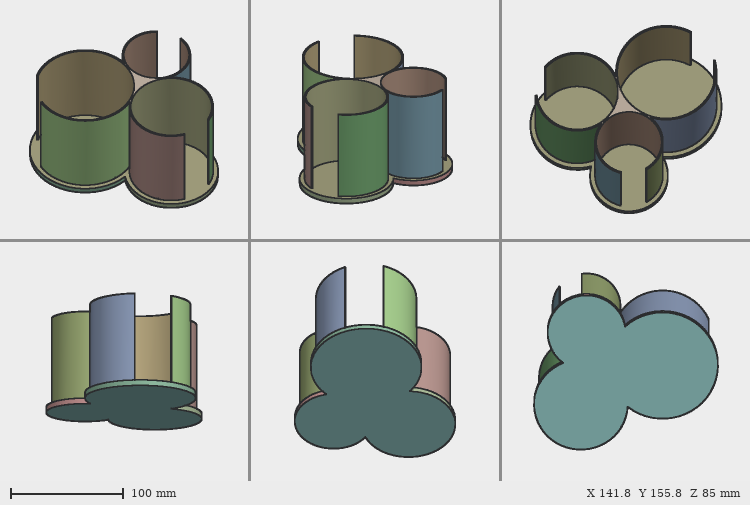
import cadquery as cq
import math

BASE_THICKNESS = 5.0
TOTAL_HEIGHT = 85.0
WALL_HEIGHT = TOTAL_HEIGHT - BASE_THICKNESS
WALL_THICKNESS = 1.2
BASE_MARGIN = 5.6
OPENING_ANGLE = 45.0

LARGE_CUP = ((0.0, 0.0), 86.8)
MEDIUM_CUP = ((51.0, 62.7), 71.9)
SMALL_CUP = ((-14.7, 72.3), 57.8)
CUPS = [LARGE_CUP, MEDIUM_CUP, SMALL_CUP]


def cylinder(center, radius, bottom, height):
    return cq.Workplane("XY").workplane(offset=bottom).center(*center).circle(radius).extrude(height)


def direction(start, end):
    """Unit vector from start to end."""
    dx = end[0] - start[0]
    dy = end[1] - start[1]
    length = math.hypot(dx, dy)
    return dx / length, dy / length


def opening_cutter(cup):
    """Wedge facing away from the other cups, along the bisector of their directions."""
    center, bore_diameter = cup
    toward_others = [direction(center, other[0]) for other in CUPS if other is not cup]
    facing = math.atan2(
        -sum(vector[1] for vector in toward_others),
        -sum(vector[0] for vector in toward_others),
    )
    half_angle = math.radians(OPENING_ANGLE / 2)
    reach = bore_diameter
    corners = [
        (reach * math.cos(angle), reach * math.sin(angle))
        for angle in (facing - half_angle, facing + half_angle)
    ]
    return (
        cq.Workplane("XY").workplane(offset=BASE_THICKNESS).center(*center)
        .polyline([(0, 0)] + corners).close().extrude(WALL_HEIGHT)
    )


def make_base():
    base = cq.Workplane("XY")
    for center, bore_diameter in CUPS:
        base = base.union(cylinder(center, bore_diameter / 2 + BASE_MARGIN, 0, BASE_THICKNESS))
    return base.union(center_triangle(0, BASE_THICKNESS))


def center_triangle(bottom, height):
    """Prism joining the cup centres, filling the space between the cups."""
    centers = [center for center, _ in CUPS]
    return cq.Workplane("XY").workplane(offset=bottom).polyline(centers).close().extrude(height)


def make_walls():
    walls = center_triangle(BASE_THICKNESS, WALL_HEIGHT)
    for center, bore_diameter in CUPS:
        outer_radius = bore_diameter / 2 + WALL_THICKNESS
        walls = walls.union(cylinder(center, outer_radius, BASE_THICKNESS, WALL_HEIGHT))
    for cup in CUPS:
        center, bore_diameter = cup
        walls = walls.cut(cylinder(center, bore_diameter / 2, BASE_THICKNESS, WALL_HEIGHT))
        walls = walls.cut(opening_cutter(cup))
    return walls


result = make_base().union(make_walls())